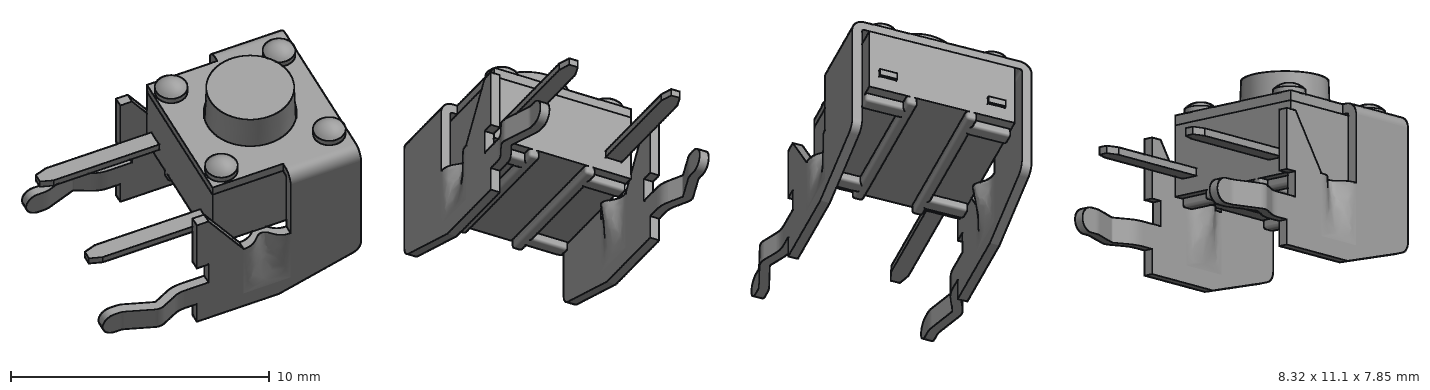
import cadquery as cq
import math


TIP_Y = -8.0

BLOCK_SIDE = 6.0
BLOCK_HEIGHT = 2.84

FOOT_HEIGHT = 0.35
FOOT_RIB_INNER_X = 1.01
FOOT_RIB_WIDTH = 0.44
FOOT_ARM_SETBACK = 0.4
FOOT_ARM_DEPTH = 0.55
FOOT_ROUNDING = 0.12

BUTTON_TOP_Z = 4.64
BUTTON_TOP_RADIUS = 1.7
BUTTON_BASE_RADIUS = 1.76
RIVET_OFFSET = 2.3
RIVET_RADIUS = 0.63
RIVET_SHOULDER = 0.24
RIVET_DOME_RISE = 0.28

SHEET = 0.4
BRACKET_WIDTH = 7.4
BEND_RADIUS = 0.5
BUTTON_HOLE_RADIUS = 1.8
WALL_BOTTOM_Z = -3.21
WALL_FRONT_Y = -4.0
WALL_STEP_Y = -3.5
WALL_HORN_TOP_Z = 2.23
WALL_NOTCH_TOP_Z = -0.2
WALL_SLOPE_END_Y = -0.5
WALL_SLOPE_START_Z = -2.2
WALL_CORNER_RADIUS = 0.5

DIMPLE_LENGTH = 2.0
DIMPLE_HEIGHT = 2.5
DIMPLE_DEPTH = 0.5

LEG_TOP_Z = -1.21
LEG_HEIGHT = 1.0
LEG_BEND_START_Y = -4.77
LEG_PEAK_Y = -5.76
LEG_BEND_END_Y = -7.18
LEG_PEAK_RISE = 0.5
LEG_START_OUTER_RADIUS = 1.0
LEG_PEAK_OUTER_RADIUS = 0.5
LEG_END_OUTER_RADIUS = 0.5

PIN_OFFSET = 2.24
PIN_WIDTH = 0.71
PIN_THICKNESS = 0.3
PIN_CENTER_Z = 0.8
PIN_BACK_Y = 3.1
PIN_TIP_LENGTH = 0.51
PIN_TIP_WIDTH = 0.38

BLOCK_HALF = BLOCK_SIDE / 2
COVER_TOP_Z = BLOCK_HEIGHT + SHEET
WALL_OUTER_X = BRACKET_WIDTH / 2
WALL_INNER_X = WALL_OUTER_X - SHEET
LEG_BOTTOM_Z = LEG_TOP_Z - LEG_HEIGHT
SIDES = (-1, 1)
RIVET_CENTERS = [(i * RIVET_OFFSET, j * RIVET_OFFSET) for i in SIDES for j in SIDES]


def box(x_range, y_range, z_range):
    """Box spanning the given (low, high) ranges."""
    lows, highs = zip(x_range, y_range, z_range)
    size = [high - low for low, high in zip(lows, highs)]
    return cq.Workplane("XY").box(*size, centered=False).translate(lows)


def make_pin(center_x):
    """Flat terminal with a tapered tip at its -Y end."""
    half = PIN_WIDTH / 2
    tip_half = PIN_TIP_WIDTH / 2
    taper_y = TIP_Y + PIN_TIP_LENGTH
    outline = [
        (-half, PIN_BACK_Y),
        (half, PIN_BACK_Y),
        (half, taper_y),
        (tip_half, TIP_Y),
        (-tip_half, TIP_Y),
        (-half, taper_y),
    ]
    pin = cq.Workplane("XY").polyline(outline).close().extrude(PIN_THICKNESS)
    return pin.translate((center_x, 0, PIN_CENTER_Z - PIN_THICKNESS / 2))


def make_foot():
    """Foot on the +X side: a rib along Y with an outward arm near each end."""
    z_range = (-FOOT_HEIGHT, 0)
    rib_outer_x = FOOT_RIB_INNER_X + FOOT_RIB_WIDTH
    foot = box((FOOT_RIB_INNER_X, rib_outer_x), (-BLOCK_HALF, BLOCK_HALF), z_range)
    arm_end_y = BLOCK_HALF - FOOT_ARM_SETBACK
    arm = box((FOOT_RIB_INNER_X, BLOCK_HALF), (arm_end_y - FOOT_ARM_DEPTH, arm_end_y), z_range)
    foot = foot.union(arm).union(arm.mirror("XZ"))
    inside_corners = cq.selectors.BoxSelector(
        (rib_outer_x - FOOT_ROUNDING, -arm_end_y - FOOT_ROUNDING, -FOOT_HEIGHT),
        (rib_outer_x + FOOT_ROUNDING, arm_end_y + FOOT_ROUNDING, 0),
    )
    upright_edges = cq.selectors.ParallelDirSelector(cq.Vector(0, 0, 1))
    outside_corners = cq.selectors.SubtractSelector(upright_edges, inside_corners)
    foot = foot.edges(outside_corners).fillet(FOOT_ROUNDING)
    return foot.faces("<Z").edges().fillet(FOOT_ROUNDING)


def make_button():
    """Tapered button standing on the block."""
    outline = [
        (0, BLOCK_HEIGHT),
        (BUTTON_BASE_RADIUS, BLOCK_HEIGHT),
        (BUTTON_TOP_RADIUS, BUTTON_TOP_Z),
        (0, BUTTON_TOP_Z),
    ]
    return cq.Workplane("XZ").polyline(outline).close().revolve(360, (0, 0), (0, 1))


def make_rivet():
    """Post through the cover with a shallow spherical dome."""
    shoulder_z = COVER_TOP_Z + RIVET_SHOULDER
    top_z = shoulder_z + RIVET_DOME_RISE
    sphere_radius = (RIVET_RADIUS**2 + RIVET_DOME_RISE**2) / (2 * RIVET_DOME_RISE)
    half_angle = math.asin(RIVET_RADIUS / sphere_radius) / 2
    arc_middle = (
        sphere_radius * math.sin(half_angle),
        top_z - sphere_radius * (1 - math.cos(half_angle)),
    )
    return (
        cq.Workplane("XZ")
        .moveTo(0, BLOCK_HEIGHT)
        .lineTo(RIVET_RADIUS, BLOCK_HEIGHT)
        .lineTo(RIVET_RADIUS, shoulder_z)
        .threePointArc(arc_middle, (0, top_z))
        .close()
        .revolve(360, (0, 0), (0, 1))
    )


def make_housing(pins):
    """Block with feet, button and rivets, and a slot for each pin."""
    span = (-BLOCK_HALF, BLOCK_HALF)
    housing = box(span, span, (0, BLOCK_HEIGHT)).union(make_button())
    foot = make_foot()
    housing = housing.union(foot).union(foot.mirror("YZ"))
    rivet = make_rivet()
    for x, y in RIVET_CENTERS:
        housing = housing.union(rivet.translate((x, y, 0)))
    for pin in pins:
        housing = housing.cut(pin)
    return housing


def make_channel():
    """Inverted U of bent sheet, long enough to trim to the wall outline."""
    y_range = (WALL_FRONT_Y, BLOCK_HALF)
    outer = box((-WALL_OUTER_X, WALL_OUTER_X), y_range, (WALL_BOTTOM_Z, COVER_TOP_Z))
    inner = box((-WALL_INNER_X, WALL_INNER_X), y_range, (WALL_BOTTOM_Z, BLOCK_HEIGHT))
    outer = outer.edges("|Y and >Z").fillet(BEND_RADIUS)
    inner = inner.edges("|Y and >Z").fillet(BEND_RADIUS - SHEET)
    return outer.cut(inner)


def make_wall_outline():
    """Outline of the side walls, as a block across the full bracket width."""
    outline = [
        (BLOCK_HALF, COVER_TOP_Z),
        (0, COVER_TOP_Z),
        (0, 0),
        (-DIMPLE_LENGTH, 0),
        (WALL_STEP_Y, WALL_HORN_TOP_Z),
        (WALL_FRONT_Y, WALL_HORN_TOP_Z),
        (WALL_FRONT_Y, WALL_NOTCH_TOP_Z),
        (WALL_STEP_Y, WALL_NOTCH_TOP_Z),
        (WALL_STEP_Y, LEG_TOP_Z),
        (WALL_FRONT_Y, LEG_TOP_Z),
        (WALL_FRONT_Y, WALL_BOTTOM_Z),
        (WALL_SLOPE_END_Y, WALL_BOTTOM_Z),
        (BLOCK_HALF, WALL_SLOPE_START_Z),
    ]
    block = cq.Workplane("YZ").polyline(outline).close().extrude(WALL_OUTER_X, both=True)
    lower_back_edge = cq.selectors.NearestToPointSelector((0, BLOCK_HALF, WALL_SLOPE_START_Z))
    return block.edges("|X").edges(lower_back_edge).fillet(WALL_CORNER_RADIUS)


def dimple_section(z, depth):
    """Closed wire of the +X wall at height z, bulging inward by depth."""
    along = cq.Vector(0, -1, 0)

    def bulge(x):
        points = [
            cq.Vector(x, 0, z),
            cq.Vector(x - depth, -DIMPLE_LENGTH / 2, z),
            cq.Vector(x, -DIMPLE_LENGTH, z),
        ]
        return cq.Edge.makeSpline(points, tangents=[along] * len(points))

    outer = bulge(WALL_OUTER_X)
    inner = bulge(WALL_INNER_X)
    back = cq.Edge.makeLine(inner.startPoint(), outer.startPoint())
    front = cq.Edge.makeLine(outer.endPoint(), inner.endPoint())
    return cq.Wire.assembleEdges([back, outer, front, inner])


def make_dimple():
    """Dimpled stretch of the +X wall, fading to flat at its lower end."""
    sections = [dimple_section(0, DIMPLE_DEPTH), dimple_section(-DIMPLE_HEIGHT, 0)]
    return cq.Workplane(cq.Solid.makeLoft(sections, True))


def make_leg():
    """Snap leg of the +X wall: a strip kinked outward, with a round end."""
    turn_out = math.atan2(LEG_PEAK_RISE, LEG_BEND_START_Y - LEG_PEAK_Y)
    turn_in = math.atan2(LEG_PEAK_RISE, LEG_PEAK_Y - LEG_BEND_END_Y)
    peak_x = WALL_OUTER_X + LEG_PEAK_RISE
    start_shift = SHEET * math.tan(turn_out / 2)
    end_shift = SHEET * math.tan(turn_in / 2)
    peak_half_angle = (turn_out + turn_in) / 2
    peak_tilt = (turn_out - turn_in) / 2
    peak_miter = SHEET / math.cos(peak_half_angle)
    start_corner = (WALL_OUTER_X, LEG_BEND_START_Y)
    peak_corner = (peak_x, LEG_PEAK_Y)
    end_corner = (WALL_OUTER_X, LEG_BEND_END_Y)
    inner_start = (WALL_INNER_X, LEG_BEND_START_Y - start_shift)
    inner_peak = (peak_x - peak_miter * math.cos(peak_tilt), LEG_PEAK_Y - peak_miter * math.sin(peak_tilt))
    inner_end = (WALL_INNER_X, LEG_BEND_END_Y + end_shift)
    outline = [
        (WALL_OUTER_X, WALL_FRONT_Y),
        start_corner,
        peak_corner,
        end_corner,
        (WALL_OUTER_X, TIP_Y),
        (WALL_INNER_X, TIP_Y),
        inner_end,
        inner_peak,
        inner_start,
        (WALL_INNER_X, WALL_FRONT_Y),
    ]
    leg = cq.Workplane("XY").workplane(offset=LEG_BOTTOM_Z).polyline(outline).close().extrude(LEG_HEIGHT)
    corner_radii = [
        (start_corner, LEG_START_OUTER_RADIUS),
        (inner_start, LEG_START_OUTER_RADIUS + SHEET),
        (peak_corner, LEG_PEAK_OUTER_RADIUS),
        (inner_peak, LEG_PEAK_OUTER_RADIUS - SHEET),
        (end_corner, LEG_END_OUTER_RADIUS),
        (inner_end, LEG_END_OUTER_RADIUS + SHEET),
    ]
    middle_z = LEG_BOTTOM_Z + LEG_HEIGHT / 2
    for (x, y), radius in corner_radii:
        corner_edge = cq.selectors.NearestToPointSelector((x, y, middle_z))
        leg = leg.edges("|Z").edges(corner_edge).fillet(radius)
    tip_center_y = TIP_Y + LEG_HEIGHT / 2
    root = box((0, WALL_OUTER_X + LEG_PEAK_RISE), (tip_center_y, WALL_FRONT_Y), (LEG_BOTTOM_Z, LEG_TOP_Z))
    round_end = (
        cq.Workplane("YZ")
        .center(tip_center_y, middle_z)
        .circle(LEG_HEIGHT / 2)
        .extrude(WALL_OUTER_X)
    )
    return leg.intersect(root.union(round_end))


def make_bracket():
    """Cover plate with two side walls, dimples, legs, and holes for the button and rivets."""
    cover = box((-BLOCK_HALF, BLOCK_HALF), (-BLOCK_HALF, 0), (BLOCK_HEIGHT, COVER_TOP_Z))
    bracket = make_channel().intersect(make_wall_outline()).union(cover)
    window = box((-WALL_OUTER_X, WALL_OUTER_X), (-DIMPLE_LENGTH, 0), (-DIMPLE_HEIGHT, 0))
    bracket = bracket.cut(window)
    for feature in (make_dimple(), make_leg()):
        bracket = bracket.union(feature).union(feature.mirror("YZ"))
    cover_underside = cq.Workplane("XY").workplane(offset=BLOCK_HEIGHT)
    button_hole = cover_underside.circle(BUTTON_HOLE_RADIUS).extrude(SHEET)
    rivet_holes = cover_underside.pushPoints(RIVET_CENTERS).circle(RIVET_RADIUS).extrude(SHEET)
    return bracket.cut(button_hole).cut(rivet_holes)


pins = [make_pin(side * PIN_OFFSET) for side in SIDES]
housing = make_housing(pins)
bracket = make_bracket()

result = cq.Compound.makeCompound([housing.val(), bracket.val(), *[pin.val() for pin in pins]])